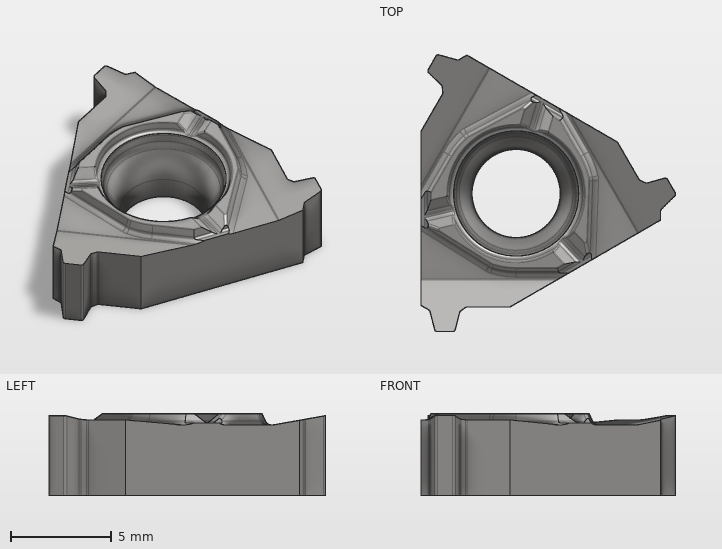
import cadquery as cq
import math

ARM_SPACING = 120
ARM_ANGLES = (0, ARM_SPACING, 2 * ARM_SPACING)

ARM_NORMAL = 270
SIDE_NORMAL = 180
NEXT_SIDE_NORMAL = SIDE_NORMAL + ARM_SPACING

TOP_Z = 4.1
LAND_Z = 3.54
STRIP_Z = 3.62
LEDGE_Z = 3.6
GROOVE_FLOOR_Z = 3.62
CLEARANCE = 0.28
CUT_Z = TOP_Z + CLEARANCE
EDGE_TOLERANCE = 0.01

SIDE_DISTANCE = 4.76
SHOULDER_DISTANCE = 5.67
TIP_DISTANCE = 6.9
SIDE_CORNER_Y = -5.59
TOOTH_CENTRE_X = -3.55
TIP_WIDTH = 0.98
FLANK_ANGLE = 14.5
SMALL_SHOULDER_ANGLE = 30
TIP_RADIUS = 0.14
ROOT_RADIUS = 0.14
ROOT_BEVEL_DEPTH = 0.22
ROOT_BEVEL_X = -2.49

FOLD_DISTANCE = 4.29
RAKE_ANGLE = 10
FOLD_RADIUS = 0.32

PAD_FLANK_DISTANCE = 3.89
PAD_FLANK_TURN = 2
PAD_FACE_DISTANCE = 3.98
PAD_WALL_ANGLE = 25
PAD_FOOT_RADIUS = 0.32
PLATE_RADIUS = 11.06

STEP_TOP_DISTANCE = 4.26
STEP_RADIUS = 0.17
STEP_LENGTH = 3.87
STEP_CENTRE_Y = -0.83

GROOVE_ANGLE = 193.3
GROOVE_OFFSET = 0.07
GROOVE_FLOOR_WIDTH = 0.33
GROOVE_WALL_SLOPE = 40
GROOVE_RADIUS = 0.3
GROOVE_START = 2.07
GROOVE_END = 5.53

HOLE_DIAMETER = 4.4
HOLE_RADIUS = HOLE_DIAMETER / 2
RIM_RADIUS = 3.43
RIM_WALL_ANGLE = 16
RIM_FILLET = 0.22
SEAT_RADIUS = 2.99
SEAT_CONE_ANGLE = 45
SEAT_WALL_ANGLE = 8
SEAT_EDGE_RADIUS = 0.05
SEAT_FILLET = 0.62
SEAT_CURVE_RADIUS = 2.19
SEAT_CURVE_Z = 1.25

GROOVE_FLANK_EDGE = (-4.18, -1.71, 4.02)
GROOVE_MOUTH_EDGE = (-3.13, -1.34, 3.91)
FLANK_EDGE_RADIUS = 0.14
CREASE_RADIUS = 0.83
MOUTH_EDGE_RADIUS = 0.11
TOP_EDGE_RADIUS = 0.04


def tan(degrees):
    return math.tan(math.radians(degrees))


def polar(radius, degrees):
    angle = math.radians(degrees)
    return (radius * math.cos(angle), radius * math.sin(angle))


def rotated(point, degrees):
    x, y = point
    c, s = polar(1, degrees)
    return (x * c - y * s, x * s + y * c)


def lines_meeting(distance_a, normal_a, distance_b, normal_b):
    """Point where two lines meet, each given by its distance from the axis and its normal."""
    turn = math.radians(normal_b - normal_a)
    along = (distance_b - distance_a * math.cos(turn)) / math.sin(turn)
    x, y = polar(distance_a, normal_a)
    along_x, along_y = polar(along, normal_a + 90)
    return (x + along_x, y + along_y)


def rounded_outline(plane, corners):
    """Closed outline through (x, y, radius) corners; radius 0 keeps a corner sharp."""
    outline = cq.Workplane(plane)
    for i, (x, y, radius) in enumerate(corners):
        corner = cq.Vector(x, y)
        before = cq.Vector(*corners[i - 1][:2]) - corner
        after = cq.Vector(*corners[(i + 1) % len(corners)][:2]) - corner
        half_angle = before.getAngle(after) / 2
        setback = radius / math.tan(half_angle)
        bisector = (before.normalized() + after.normalized()).normalized()
        start = corner + before.normalized() * setback
        middle = corner + bisector * (radius / math.sin(half_angle) - radius)
        end = corner + after.normalized() * setback
        if i == 0:
            outline = outline.moveTo(start.x, start.y)
        else:
            outline = outline.lineTo(start.x, start.y)
        if radius > 0:
            outline = outline.threePointArc((middle.x, middle.y), (end.x, end.y))
    return outline.close()


def on_every_arm(shape):
    """The shape repeated at the three arms, as one workplane object."""
    copies = cq.Workplane()
    for angle in ARM_ANGLES:
        copies = copies.add(shape.rotate((0, 0, 0), (0, 0, 1), angle))
    return copies.combine()


def round_edges(body, point, radius):
    """Round the edge closest to the point, on every arm."""
    edges = []
    for angle in ARM_ANGLES:
        x, y = rotated(point[:2], angle)
        nearest = cq.selectors.NearestToPointSelector((x, y, point[2]))
        edges += body.edges(nearest).vals()
    return body.newObject(edges).fillet(radius)


def arm_corners():
    """Outline corners of one arm, from the long side on -X round the tooth to the next side."""
    flank = tan(FLANK_ANGLE)
    tip_left = TOOTH_CENTRE_X - TIP_WIDTH / 2
    tip_right = TOOTH_CENTRE_X + TIP_WIDTH / 2
    root_distance = SHOULDER_DISTANCE + ROOT_BEVEL_DEPTH
    root_x = tip_right + (TIP_DISTANCE - root_distance) * flank
    fall = tan(SMALL_SHOULDER_ANGLE)
    side_to_tip = tip_left + SIDE_DISTANCE
    small_shoulder = (side_to_tip - (TIP_DISTANCE + SIDE_CORNER_Y) * flank) / (1 - fall * flank)
    next_side_corner = lines_meeting(SHOULDER_DISTANCE, ARM_NORMAL, SIDE_DISTANCE, NEXT_SIDE_NORMAL)
    return [
        (-SIDE_DISTANCE, SIDE_CORNER_Y, 0),
        (-SIDE_DISTANCE + small_shoulder, SIDE_CORNER_Y - small_shoulder * fall, ROOT_RADIUS),
        (tip_left, -TIP_DISTANCE, TIP_RADIUS),
        (tip_right, -TIP_DISTANCE, TIP_RADIUS),
        (root_x, -root_distance, ROOT_RADIUS),
        (ROOT_BEVEL_X, -SHOULDER_DISTANCE, ROOT_RADIUS),
        (*next_side_corner, 0),
    ]


def make_outline_prism():
    corners = []
    for angle in ARM_ANGLES:
        corners += [(*rotated((x, y), angle), radius) for x, y, radius in arm_corners()]
    return rounded_outline("XY", corners).extrude(TOP_Z)


def make_rake_wedge():
    """Block under the sloping rake face of one arm."""
    outer = TIP_DISTANCE + CLEARANCE
    inner = FOLD_DISTANCE - CLEARANCE
    outer_z = LAND_Z + (outer - FOLD_DISTANCE) * tan(RAKE_ANGLE)
    profile = [
        (-outer, 0, 0),
        (-inner, 0, 0),
        (-inner, LAND_Z, 0),
        (-FOLD_DISTANCE, LAND_Z, FOLD_RADIUS),
        (-outer, outer_z, 0),
    ]
    return rounded_outline("YZ", profile).extrude(2 * SIDE_DISTANCE, both=True)


def make_pad():
    """Pad with sloping walls, blended into a wide plate at land height."""
    previous_normal = ARM_NORMAL - ARM_SPACING
    flank_normal = (SIDE_NORMAL + NEXT_SIDE_NORMAL) / 2 - PAD_FLANK_TURN
    crease = flank_normal + math.degrees(math.acos(PAD_FLANK_DISTANCE / PAD_FACE_DISTANCE))
    meeting = lines_meeting(PAD_FACE_DISTANCE, previous_normal, PAD_FLANK_DISTANCE, flank_normal)
    outline = cq.Workplane("XY", origin=(0, 0, LAND_Z)).moveTo(*meeting)
    for angle in ARM_ANGLES:
        outline = (
            outline.lineTo(*polar(PAD_FACE_DISTANCE, crease + angle))
            .threePointArc(
                polar(PAD_FACE_DISTANCE, (crease + ARM_NORMAL) / 2 + angle),
                polar(PAD_FACE_DISTANCE, ARM_NORMAL + angle),
            )
        )
        if angle != ARM_ANGLES[-1]:
            outline = outline.lineTo(*rotated(meeting, angle + ARM_SPACING))
    pad = outline.close().extrude(TOP_Z - LAND_Z, taper=PAD_WALL_ANGLE)
    crease_point = (*polar(PAD_FACE_DISTANCE, crease), LAND_Z)
    pad = round_edges(pad, crease_point, CREASE_RADIUS)
    plate = cq.Workplane("XY").circle(PLATE_RADIUS).extrude(LAND_Z)
    foot = cq.selectors.BoxSelector(
        (-PLATE_RADIUS / 2, -PLATE_RADIUS / 2, LAND_Z - EDGE_TOLERANCE),
        (PLATE_RADIUS / 2, PLATE_RADIUS / 2, LAND_Z + EDGE_TOLERANCE),
    )
    return plate.union(pad).edges(foot).fillet(PAD_FOOT_RADIUS)


def make_side_step():
    """Cutter for the step between the pad and the long side on -X."""
    slope = tan(PAD_WALL_ANGLE)
    outside = -SIDE_DISTANCE - CLEARANCE
    profile = [
        (outside, STRIP_Z, 0),
        (-STEP_TOP_DISTANCE - (TOP_Z - STRIP_Z) * slope, STRIP_Z, STEP_RADIUS),
        (-STEP_TOP_DISTANCE + CLEARANCE * slope, CUT_Z, 0),
        (outside, CUT_Z, 0),
    ]
    step = rounded_outline("XZ", profile).extrude(STEP_LENGTH / 2, both=True)
    return step.translate((0, STEP_CENTRE_Y, 0))


def make_groove():
    """Cutter for one radial groove with sloping walls."""
    floor = GROOVE_FLOOR_WIDTH / 2
    top = floor + (CUT_Z - GROOVE_FLOOR_Z) / tan(GROOVE_WALL_SLOPE)
    profile = [
        (GROOVE_OFFSET - top, CUT_Z, 0),
        (GROOVE_OFFSET - floor, GROOVE_FLOOR_Z, GROOVE_RADIUS),
        (GROOVE_OFFSET + floor, GROOVE_FLOOR_Z, GROOVE_RADIUS),
        (GROOVE_OFFSET + top, CUT_Z, 0),
    ]
    groove = rounded_outline("YZ", profile).extrude(GROOVE_END - GROOVE_START)
    groove = groove.translate((GROOVE_START, 0, 0))
    return groove.rotate((0, 0, 0), (0, 0, 1), GROOVE_ANGLE)


def make_hole():
    """Cutter for the screw hole: rim wall, ledge, conical wall, curved seat and straight bore."""
    rim_slope = tan(RIM_WALL_ANGLE)
    seat_slope = tan(SEAT_WALL_ANGLE)
    cone_foot_z = SEAT_CURVE_Z + SEAT_CURVE_RADIUS * tan(SEAT_CONE_ANGLE / 2)
    cone_top_z = cone_foot_z + (SEAT_RADIUS - HOLE_RADIUS) / tan(SEAT_CONE_ANGLE)
    profile = [
        (0, CUT_Z, 0),
        (RIM_RADIUS + CLEARANCE * rim_slope, CUT_Z, 0),
        (RIM_RADIUS - (TOP_Z - LEDGE_Z) * rim_slope, LEDGE_Z, RIM_FILLET),
        (SEAT_RADIUS + (LEDGE_Z - cone_top_z) * seat_slope, LEDGE_Z, SEAT_EDGE_RADIUS),
        (SEAT_RADIUS, cone_top_z, SEAT_FILLET),
        (HOLE_RADIUS, cone_foot_z, SEAT_CURVE_RADIUS),
        (HOLE_RADIUS, 0, 0),
        (0, 0, 0),
    ]
    return rounded_outline("XZ", profile).revolve(360, (0, 0), (0, 1))


pad = make_pad().cut(on_every_arm(make_side_step())).cut(on_every_arm(make_groove()))
blank = pad.union(on_every_arm(make_rake_wedge()))
insert = blank.intersect(make_outline_prism()).cut(make_hole())
insert = round_edges(insert, GROOVE_FLANK_EDGE, FLANK_EDGE_RADIUS)
insert = round_edges(insert, GROOVE_MOUTH_EDGE, MOUTH_EDGE_RADIUS)
result = insert.faces(">Z").edges().fillet(TOP_EDGE_RADIUS)